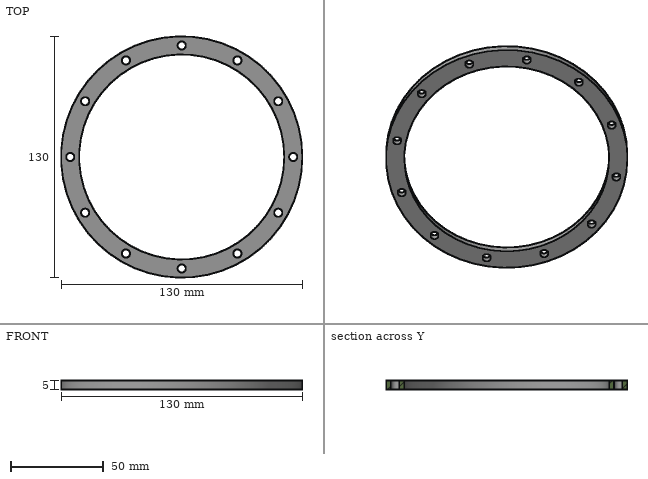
import cadquery as cq

outer_diameter = 130.0
inner_diameter = 110.2
thickness = 5.0

bolt_hole_count = 12
bolt_hole_diameter = 4.3
bolt_circle_diameter = 120.0

ring = (
    cq.Workplane("XY")
    .circle(outer_diameter / 2)
    .circle(inner_diameter / 2)
    .extrude(thickness)
)

bolt_holes = (
    cq.Workplane("XY")
    .polarArray(bolt_circle_diameter / 2, 0, 360, bolt_hole_count)
    .circle(bolt_hole_diameter / 2)
    .extrude(thickness)
)

result = ring.cut(bolt_holes)